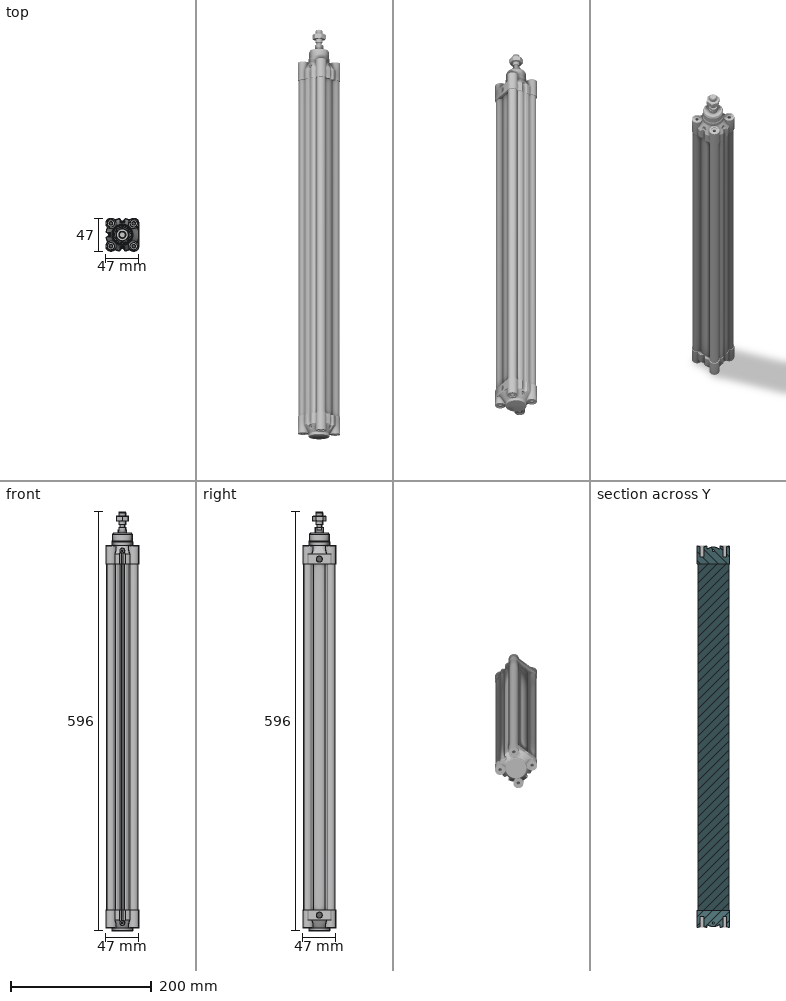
import cadquery as cq
import math


stroke = 450.0
zero_stroke_length = 94.0
body_length = zero_stroke_length + stroke
rear_cap_length = 25.4
front_cap_length = 26.5
rear_boss_height = 4.0
rod_reach = 48.0
tube_start = rear_cap_length
tube_end = body_length - front_cap_length
rod_tip = body_length + rod_reach

cap_width = 47.0
cap_radius = cap_width / 2
screw_pitch = 32.5
screw_offset = screw_pitch / 2
cap_lobe_radius = cap_radius - screw_offset
band_height = 14.4
cone_foot_radius = 15.0
groove_lip = 4.5
groove_floor = 1.2
groove_floor_depth = 19.4
screw_recess_diameter = 10.3
screw_recess_depth = 1.0
screw_hole_diameter = 4.92
screw_hole_depth = 16.0
cushion_hole_diameter = 7.0
cushion_hole_height = 7.2
cushion_hole_floor = 17.0
cushion_socket_diameter = 2.1
cushion_socket_floor = 15.0
port_diameter = 8.57
port_floor = 13.0
boss_diameter = 30.0
boss_chamfer = 0.5

collar_height = 18.0
collar_base_height = 5.0
collar_shoulder_rise = 1.8
collar_radius = 14.2
collar_top_chamfer = 1.4
collar_chamfer_height = 2.6
seal_recess_diameter = 22.0
seal_recess_depth = 1.0

tube_bore = 32.0
barrel_radius = 19.2
tube_half_width = 22.5
tube_lobe_radius = tube_half_width - screw_offset
rib_radius = 22.8
rib_half_width = 9.5
rib_land = 21.9

rod_diameter = 12.0
thread_diameter = 10.0
thread_length = 22.0
thread_tip_diameter = 8.57
thread_chamfer_height = 1.5
undercut_diameter = 7.0
undercut_length = 3.8
flat_width = 10.0
flat_length = 4.0
nut_width = 17.0
nut_height = 7.0
nut_top_gap = 6.3
nut_chamfer_angle = 30.0


def disc(radius, z, height):
    """Cylinder on the main axis."""
    return cq.Workplane("XY", origin=(0, 0, z)).circle(radius).extrude(height)


def corner_lobes(radius, z, height):
    """Four round columns around the screw positions."""
    lobes = cq.Workplane("XY", origin=(0, 0, z))
    lobes = lobes.rect(screw_pitch, screw_pitch, forConstruction=True)
    return lobes.vertices().circle(radius).extrude(height)


def square_webs(length):
    """Square blocks that fill the inner side of each cap lobe."""
    middle = screw_offset - cap_lobe_radius / 2
    webs = cq.Workplane("XY").rect(2 * middle, 2 * middle, forConstruction=True)
    return webs.vertices().rect(cap_lobe_radius, cap_lobe_radius).extrude(length)


def diagonal_webs(z, height):
    """Two crossed walls that join the tube lobes to the barrel with flat 45 degree flanks."""
    wall = cq.Workplane("XY", origin=(0, 0, z))
    wall = wall.rect(math.sqrt(2) * screw_pitch, 2 * tube_lobe_radius).extrude(height)
    wall = wall.rotate((0, 0, 0), (0, 0, 1), 45)
    return wall.union(wall.rotate((0, 0, 0), (0, 0, 1), 90))


def v_groove(angle, z, height):
    """Cutter for a V groove along Z, on the side of the axis at the given angle from +X."""
    slope = (cap_radius - groove_floor_depth) / (groove_lip - groove_floor)
    overcut = 1.0
    outside = cap_radius + overcut
    outside_half = groove_lip + overcut / slope
    groove = (
        cq.Workplane("XY", origin=(0, 0, z))
        .polyline([
            (groove_floor_depth, -groove_floor),
            (outside, -outside_half),
            (outside, outside_half),
            (groove_floor_depth, groove_floor),
        ])
        .close()
        .extrude(height)
    )
    return groove.rotate((0, 0, 0), (0, 0, 1), angle)


def radial_hole(angle, z, diameter, floor):
    """Cutter for a round hole from the outside towards the axis, ending at the given radius."""
    hole = cq.Workplane("YZ", origin=(floor, 0, z)).circle(diameter / 2).extrude(cap_width)
    return hole.rotate((0, 0, 0), (0, 0, 1), angle)


def plain_cap(length):
    """Cap with its mounting face on Z = 0 and its tube side on Z = length."""
    taper_height = length - band_height
    core = (
        cq.Workplane("XZ")
        .polyline([
            (0, 0),
            (cone_foot_radius, 0),
            (cap_radius, taper_height),
            (cap_radius, length),
            (0, length),
        ])
        .close()
        .revolve(360, (0, 0, 0), (0, 1, 0))
    )
    port_pad = cq.Workplane("XY", origin=(0, 0, taper_height))
    port_pad = port_pad.center(cap_radius / 2, 0).rect(cap_radius, screw_pitch).extrude(band_height)
    cap = core.union(corner_lobes(cap_lobe_radius, 0, length)).union(square_webs(length)).union(port_pad)

    for angle in (90, 180, 270):
        cap = cap.cut(v_groove(angle, 0, length))
        cap = cap.cut(radial_hole(angle, cushion_hole_height, cushion_hole_diameter, cushion_hole_floor))
        cap = cap.cut(radial_hole(angle, cushion_hole_height, cushion_socket_diameter, cushion_socket_floor))
    cap = cap.cut(radial_hole(0, taper_height + band_height / 2, port_diameter, port_floor))

    for diameter, depth in (
        (screw_recess_diameter, screw_recess_depth),
        (screw_hole_diameter, screw_hole_depth),
    ):
        corners = cq.Workplane("XY").rect(screw_pitch, screw_pitch, forConstruction=True)
        cap = cap.cut(corners.vertices().circle(diameter / 2).extrude(depth))
    return cap


def make_rear_cap():
    boss = disc(boss_diameter / 2, -rear_boss_height, rear_boss_height)
    boss = boss.faces("<Z").edges().chamfer(boss_chamfer)
    return plain_cap(rear_cap_length).union(boss)


def make_front_cap():
    boss_radius = boss_diameter / 2
    collar = (
        cq.Workplane("XZ")
        .polyline([
            (0, 0),
            (boss_radius, 0),
            (boss_radius, collar_base_height),
            (collar_radius, collar_base_height + collar_shoulder_rise),
            (collar_radius, collar_height - collar_chamfer_height),
            (collar_radius - collar_top_chamfer, collar_height),
            (0, collar_height),
        ])
        .close()
        .revolve(360, (0, 0, 0), (0, 1, 0))
        .translate((0, 0, body_length))
    )
    cap = plain_cap(front_cap_length).mirror("XY").translate((0, 0, body_length))
    recess_floor = body_length + collar_height - seal_recess_depth
    recess = disc(seal_recess_diameter / 2, recess_floor, seal_recess_depth)
    rod_hole = disc(rod_diameter / 2, tube_end, front_cap_length + collar_height)
    return cap.union(collar).cut(recess).cut(rod_hole)


def make_tube():
    """Barrel with four screw lobes and a grooved rib on the +Y and -Y sides."""
    length = tube_end - tube_start
    ribs = cq.Workplane("XY", origin=(0, 0, tube_start))
    ribs = ribs.rect(2 * rib_half_width, 2 * rib_land).extrude(length)
    ribs = ribs.intersect(disc(rib_radius, tube_start, length))
    tube = disc(barrel_radius, tube_start, length)
    tube = tube.union(corner_lobes(tube_lobe_radius, tube_start, length))
    tube = tube.union(diagonal_webs(tube_start, length)).union(ribs)
    for angle in (90, 270):
        tube = tube.cut(v_groove(angle, tube_start, length))
    return tube.cut(disc(tube_bore / 2, tube_start, length))


def make_rod():
    shoulder = rod_tip - thread_length
    thread_end = shoulder + undercut_length
    rod = disc(rod_diameter / 2, tube_start, shoulder - tube_start)
    for side in (-1, 1):
        flat = cq.Workplane("XY", origin=(side * (flat_width + rod_diameter) / 2, 0, shoulder - flat_length))
        rod = rod.cut(flat.rect(rod_diameter, rod_diameter).extrude(flat_length))
    thread = disc(thread_diameter / 2, thread_end, rod_tip - thread_end)
    tip_inset = (thread_diameter - thread_tip_diameter) / 2
    thread = thread.faces(">Z").edges().chamfer(thread_chamfer_height, tip_inset)
    return rod.union(disc(undercut_diameter / 2, shoulder, undercut_length)).union(thread)


def make_nut():
    """Hexagon nut with corners on the Y axis and both ends chamfered."""
    across_corners = nut_width / math.cos(math.pi / 6)
    rim = (across_corners - nut_width) / 2
    rim_height = rim * math.tan(math.radians(nut_chamfer_angle))
    bottom = rod_tip - nut_top_gap - nut_height
    top = bottom + nut_height
    rounded = (
        cq.Workplane("XZ")
        .polyline([
            (0, bottom),
            (nut_width / 2, bottom),
            (across_corners / 2, bottom + rim_height),
            (across_corners / 2, top - rim_height),
            (nut_width / 2, top),
            (0, top),
        ])
        .close()
        .revolve(360, (0, 0, 0), (0, 1, 0))
    )
    nut = cq.Workplane("XY", origin=(0, 0, bottom)).polygon(6, across_corners).extrude(nut_height)
    nut = nut.rotate((0, 0, 0), (0, 0, 1), 90).intersect(rounded)
    return nut.cut(disc(thread_diameter / 2, bottom, nut_height))


rear_cap = make_rear_cap()
front_cap = make_front_cap()
tube = make_tube()
rod = make_rod()
nut = make_nut()

result = cq.Compound.makeCompound([
    rear_cap.val(),
    front_cap.val(),
    tube.val(),
    rod.val(),
    nut.val(),
])